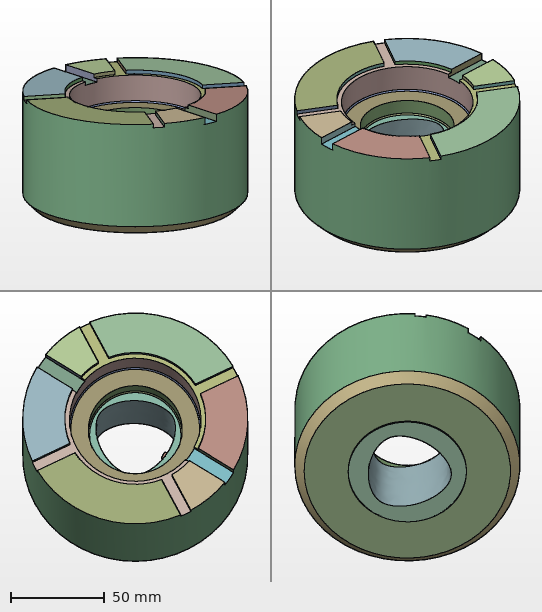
import cadquery as cq
import math

body_diameter = 120
total_height = 63.0
boss_diameter = 63.0
boss_height = 1.0
bottom_chamfer = 5.0

recess_diameter = 75.0
recess_depth = 2.0
upper_bore_diameter = 70.1
upper_bore_depth = 17.0
lower_bore_diameter = 50.0
lower_bore_depth = 8.6
bore_corner_chamfer = 0.7

wide_slot_width = 8.4
wide_slot_depth = 4.0
narrow_slot_width = 6
narrow_slot_depth = recess_depth
narrow_slot_angles = (60, 150)

socket_diameter = 42.4
socket_eccentricity = 2.9
socket_taper = 1 / 20
socket_points = 48

pin_diameter = 4.1
pin_tip_x = 18
pin_embedded_length = 7.2
pin_below_floor = 4.0

upper_floor_z = total_height - upper_bore_depth
lower_floor_z = upper_floor_z - lower_bore_depth


def disc(diameter, bottom_z, top_z):
    return cq.Workplane("XY").workplane(offset=bottom_z).circle(diameter / 2).extrude(top_z - bottom_z)


def bore(diameter, floor_z):
    """Cutter for a flat bore with a chamfered corner at its floor."""
    return disc(diameter, floor_z, total_height).faces("<Z").edges().chamfer(bore_corner_chamfer)


def slot(width, depth, angle):
    """Cutter for a slot across the full top face."""
    cutter = cq.Workplane("XY").box(body_diameter, width, depth, centered=(True, True, False))
    return cutter.translate((0, 0, total_height - depth)).rotate((0, 0, 0), (0, 0, 1), angle)


def lobed_point(diameter, angle):
    """Point of the three-lobed section at the given curve angle."""
    radius = diameter / 2
    e = socket_eccentricity
    x = radius * math.cos(angle) - e * math.cos(2 * angle) + e / 2 * math.cos(4 * angle)
    y = radius * math.sin(angle) + e * math.sin(2 * angle) + e / 2 * math.sin(4 * angle)
    return x, y


def lobed_outline(diameter):
    return [lobed_point(diameter, 2 * math.pi * i / socket_points) for i in range(socket_points)]


def socket():
    """Cutter for the tapered socket from the boss face to the bore floor."""
    mouth_diameter = socket_diameter + socket_taper * lower_floor_z
    section = cq.Workplane("XY").spline(lobed_outline(mouth_diameter), periodic=True).close()
    section = section.workplane(offset=lower_floor_z)
    return section.spline(lobed_outline(socket_diameter), periodic=True).close().loft(combine=True)


def key_pin():
    pin_length = socket_diameter / 2 - pin_tip_x + pin_embedded_length
    pin = cq.Workplane("YZ").circle(pin_diameter / 2).extrude(pin_length)
    return pin.translate((pin_tip_x, 0, lower_floor_z - pin_below_floor))


body = disc(body_diameter, boss_height, total_height).faces("<Z").edges().chamfer(bottom_chamfer)
body = body.union(disc(boss_diameter, 0, total_height / 2))

body = body.cut(disc(recess_diameter, total_height - recess_depth, total_height))
body = body.cut(bore(upper_bore_diameter, upper_floor_z))
body = body.cut(bore(lower_bore_diameter, lower_floor_z))

body = body.cut(slot(wide_slot_width, wide_slot_depth, 0))
for slot_angle in narrow_slot_angles:
    body = body.cut(slot(narrow_slot_width, narrow_slot_depth, slot_angle))

body = body.cut(socket())
result = body.union(key_pin())